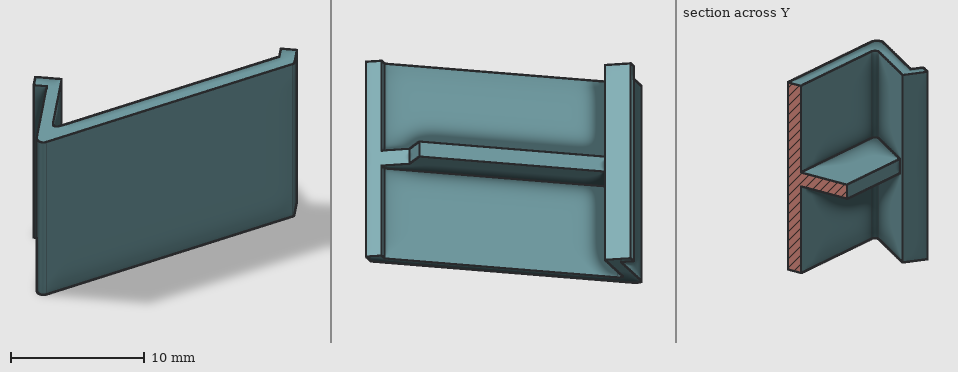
import cadquery as cq
import math

HEIGHT = 15.1
OVERALL_WIDTH = 7.13
OVERALL_LENGTH = 22.08
TILT = math.radians(33.2)
WALL = 1.22
ARM = 1.0
LIP = 0.97
LIP_DROP = 1.0
HOOK = 1.22
HOOK_LENGTH = 1.59
CORNER_OUTER_RADIUS = 0.5
CORNER_INNER_RADIUS = 0.3
HOOK_RADIUS = 0.3
RIB_THICKNESS = 1.16
RIB_REACH = 5.53
RIB_SETBACK = 2.84

COS, SIN, TAN = math.cos(TILT), math.sin(TILT), math.tan(TILT)

LOWEST_Y = CORNER_OUTER_RADIUS * (TAN + 1 / COS - 1)
HOOK_TIP = (-HOOK_LENGTH * COS, LOWEST_Y + OVERALL_LENGTH)
WALL_END_Y = HOOK_TIP[1] - HOOK_LENGTH * SIN
ARM_LENGTH = (OVERALL_WIDTH - LIP_DROP * SIN) / COS


def arm_point(along, across):
    """Point at a distance along the arm's outer face and inward across it."""
    return (-along * COS + across * SIN, along * SIN + across * COS)


def hook_face_point(depth):
    """Point on the slanted end face of the hook, at a depth below its tip."""
    return (HOOK_TIP[0] - depth * SIN, HOOK_TIP[1] - depth * COS)


INNER_CORNER = (-WALL, WALL * TAN + ARM / COS)
HOOK_ROOT = hook_face_point(HOOK)
HOOK_INNER_CORNER = (-WALL, HOOK_ROOT[1] + (HOOK_ROOT[0] + WALL) * TAN)


def round_corner(body, corner, radius):
    """Fillet the upright edge that passes through a corner of the profile."""
    edge = cq.selectors.NearestToPointSelector((*corner, HEIGHT / 2))
    return body.edges("|Z").edges(edge).fillet(radius)


def make_clip():
    """Long wall with the hook at one end and the lipped arm at the other."""
    body = (
        cq.Workplane("XY")
        .polyline([
            (0, 0),
            (0, WALL_END_Y),
            HOOK_TIP,
            HOOK_ROOT,
            HOOK_INNER_CORNER,
            INNER_CORNER,
            arm_point(ARM_LENGTH, ARM),
            arm_point(ARM_LENGTH, -LIP_DROP),
            arm_point(ARM_LENGTH - LIP, -LIP_DROP),
            arm_point(ARM_LENGTH - LIP, 0),
        ])
        .close()
        .extrude(HEIGHT)
    )
    body = round_corner(body, (0, 0), CORNER_OUTER_RADIUS)
    body = round_corner(body, INNER_CORNER, CORNER_INNER_RADIUS)
    return round_corner(body, (0, WALL_END_Y), HOOK_RADIUS)


def make_rib():
    """Web at mid height that joins wall, arm and hook."""
    rib_end = hook_face_point(RIB_SETBACK / COS)
    mid_wall_x = -WALL / 2
    arm_middle = ARM / 2 / COS
    return (
        cq.Workplane("XY")
        .workplane(offset=(HEIGHT - RIB_THICKNESS) / 2)
        .polyline([
            (mid_wall_x, arm_middle - mid_wall_x * TAN),
            (mid_wall_x, WALL_END_Y),
            HOOK_ROOT,
            rib_end,
            (-RIB_REACH, rib_end[1]),
            (-RIB_REACH, arm_middle + RIB_REACH * TAN),
        ])
        .close()
        .extrude(RIB_THICKNESS)
    )


result = make_clip().union(make_rib())